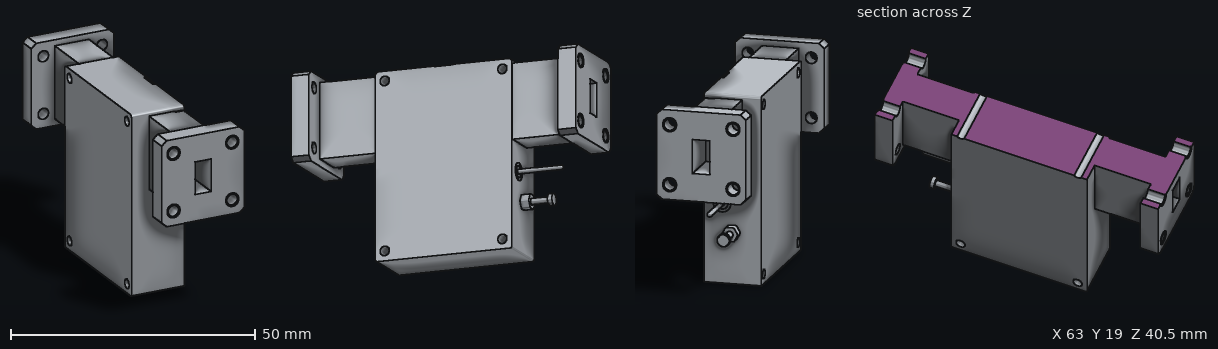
import cadquery as cq
import math

OVERALL_LENGTH = 63.0
FLANGE_SIZE = 19.02
FLANGE_THICKNESS = 4.0
FLANGE_CHAMFER_Y = 1.15
FLANGE_CHAMFER_Z = 1.0
FLANGE_HOLE_SPACING_Y = 13.46
FLANGE_HOLE_SPACING_Z = 12.7
FLANGE_HOLE_DIAMETER = 2.4
FLANGE_COUNTERBORE_DIAMETER = 2.9
FLANGE_COUNTERBORE_DEPTH = 0.2

TUBE_WIDTH = 7.8
TUBE_HEIGHT = 16.15
TUBE_CENTER_Y = -0.2
TUBE_CENTER_Z = 0.1
PORT_WIDTH = 3.7
PORT_HEIGHT = 7.2
PORT_DEPTH = 10.0

OVERALL_HEIGHT = 40.52
HOUSING_LENGTH = 30.2
HOUSING_WIDTH = 12.15
HOUSING_BACK_Y = 4.05
HOUSING_TOP_DROP = 0.4
HOUSING_TOP_FILLET = 0.7
HOUSING_BOTTOM_FILLET = 0.4
HOUSING_HOLE_DIAMETER = 2.0
HOUSING_HOLE_INSET = 2.1

NOTCH_DEPTH = 0.1
TOP_NOTCH_LENGTH = 4.0
TOP_NOTCH_WIDTH = 0.55
TUBE_NOTCH_LENGTH = 0.35
TUBE_NOTCH_WIDTH = 1.9

PIN_Y = 0.2
PIN_DROP = 23.5
PIN_DIAMETER = 1.0
PIN_LENGTH = 9.8
PIN_TIP_FILLET = 0.4
SEAL_OUTER_DIAMETER = 3.7
SEAL_INNER_DIAMETER = 2.5
SEAL_DEPTH = 0.1

POST_Y = -2.0
POST_DROP = 29.5
HEX_ACROSS_FLATS = 3.0
HEX_ACROSS_CORNERS = HEX_ACROSS_FLATS / math.cos(math.pi / 6)
HEX_LENGTH = 1.95
HEX_CORNER_FILLET = 0.55
SHANK_DIAMETER = 1.4
HEAD_DIAMETER = 2.55
HEAD_THICKNESS = 1.0
POST_LENGTH = 6.9

FLANGE_TOP = FLANGE_SIZE / 2
HOUSING_TOP = FLANGE_TOP - HOUSING_TOP_DROP
HOUSING_BOTTOM = FLANGE_TOP - OVERALL_HEIGHT
HOUSING_HEIGHT = HOUSING_TOP - HOUSING_BOTTOM
HOUSING_CENTER_Y = HOUSING_BACK_Y - HOUSING_WIDTH / 2
HOUSING_CENTER_Z = (HOUSING_TOP + HOUSING_BOTTOM) / 2
HOUSING_LEFT = -HOUSING_LENGTH / 2
TUBE_TOP = TUBE_CENTER_Z + TUBE_HEIGHT / 2
TUBE_BACK_Y = TUBE_CENTER_Y + TUBE_WIDTH / 2


def box_at(size, center):
    return cq.Workplane("XY").box(*size).translate(center)


def left_facing_plane(x, y, z):
    """Plane at (x, y, z) whose normal points to -X, with local y along +Z."""
    return cq.Workplane(cq.Plane(origin=(x, y, z), xDir=(0, -1, 0), normal=(-1, 0, 0)))


def make_housing():
    housing = box_at(
        (HOUSING_LENGTH, HOUSING_WIDTH, HOUSING_HEIGHT),
        (0, HOUSING_CENTER_Y, HOUSING_CENTER_Z),
    )
    housing = housing.edges("|Y and >Z").fillet(HOUSING_TOP_FILLET)
    housing = housing.edges("|Y and <Z").fillet(HOUSING_BOTTOM_FILLET)
    hole_spacing_x = HOUSING_LENGTH - 2 * HOUSING_HOLE_INSET
    hole_spacing_z = HOUSING_HEIGHT - 2 * HOUSING_HOLE_INSET
    holes = (
        cq.Workplane("XZ", origin=(0, HOUSING_CENTER_Y, HOUSING_CENTER_Z))
        .rect(hole_spacing_x, hole_spacing_z, forConstruction=True)
        .vertices()
        .circle(HOUSING_HOLE_DIAMETER / 2)
        .extrude(HOUSING_WIDTH, both=True)
    )
    top_notch = box_at(
        (TOP_NOTCH_LENGTH, 2 * TOP_NOTCH_WIDTH, 2 * NOTCH_DEPTH),
        (0, HOUSING_BACK_Y, HOUSING_TOP),
    )
    return housing.cut(holes).cut(top_notch)


def make_left_flange():
    half = FLANGE_SIZE / 2
    inner_y = half - FLANGE_CHAMFER_Y
    inner_z = half - FLANGE_CHAMFER_Z
    outline = [
        (-inner_y, -half),
        (inner_y, -half),
        (half, -inner_z),
        (half, inner_z),
        (inner_y, half),
        (-inner_y, half),
        (-half, inner_z),
        (-half, -inner_z),
    ]
    inner_face_x = -OVERALL_LENGTH / 2 + FLANGE_THICKNESS
    plate = left_facing_plane(inner_face_x, 0, 0).polyline(outline).close().extrude(FLANGE_THICKNESS)
    return (
        plate.faces("<X")
        .workplane()
        .rect(FLANGE_HOLE_SPACING_Y, FLANGE_HOLE_SPACING_Z, forConstruction=True)
        .vertices()
        .cboreHole(FLANGE_HOLE_DIAMETER, FLANGE_COUNTERBORE_DIAMETER, FLANGE_COUNTERBORE_DEPTH)
    )


def make_left_arm():
    """Tube and flange on the -X side, with the port sunk in from the flange face."""
    tube_start = -OVERALL_LENGTH / 2 + FLANGE_THICKNESS
    tube = box_at(
        (HOUSING_LEFT - tube_start, TUBE_WIDTH, TUBE_HEIGHT),
        ((HOUSING_LEFT + tube_start) / 2, TUBE_CENTER_Y, TUBE_CENTER_Z),
    )
    notch = box_at(
        (2 * TUBE_NOTCH_LENGTH, 2 * TUBE_NOTCH_WIDTH, 2 * NOTCH_DEPTH),
        (HOUSING_LEFT, TUBE_BACK_Y, TUBE_TOP),
    )
    port = box_at((2 * PORT_DEPTH, PORT_WIDTH, PORT_HEIGHT), (-OVERALL_LENGTH / 2, 0, 0))
    return tube.cut(notch).union(make_left_flange()).cut(port)


def make_pin():
    plane = left_facing_plane(HOUSING_LEFT + SEAL_DEPTH, PIN_Y, FLANGE_TOP - PIN_DROP)
    pin = plane.circle(PIN_DIAMETER / 2).extrude(PIN_LENGTH + SEAL_DEPTH)
    return pin.faces("<X").edges().fillet(PIN_TIP_FILLET)


def make_seal_recess():
    """Two-step recess around the pin."""
    z = FLANGE_TOP - PIN_DROP
    outer = left_facing_plane(HOUSING_LEFT + SEAL_DEPTH / 2, PIN_Y, z)
    inner = left_facing_plane(HOUSING_LEFT + SEAL_DEPTH, PIN_Y, z)
    recess = outer.circle(SEAL_OUTER_DIAMETER / 2).extrude(SEAL_DEPTH)
    return recess.union(inner.circle(SEAL_INNER_DIAMETER / 2).extrude(SEAL_DEPTH))


def make_post():
    z = FLANGE_TOP - POST_DROP
    base_plane = left_facing_plane(HOUSING_LEFT, POST_Y, z)
    base = base_plane.polygon(6, HEX_ACROSS_CORNERS).extrude(HEX_LENGTH)
    base = base.edges("|X").fillet(HEX_CORNER_FILLET)
    shank = base_plane.circle(SHANK_DIAMETER / 2).extrude(POST_LENGTH)
    head_plane = left_facing_plane(HOUSING_LEFT - POST_LENGTH + HEAD_THICKNESS, POST_Y, z)
    head = head_plane.circle(HEAD_DIAMETER / 2).extrude(HEAD_THICKNESS)
    return base.union(shank).union(head)


left_arm = make_left_arm()
right_arm = left_arm.mirror("YZ")

result = make_housing().union(left_arm).union(right_arm)
result = result.cut(make_seal_recess()).union(make_pin()).union(make_post())